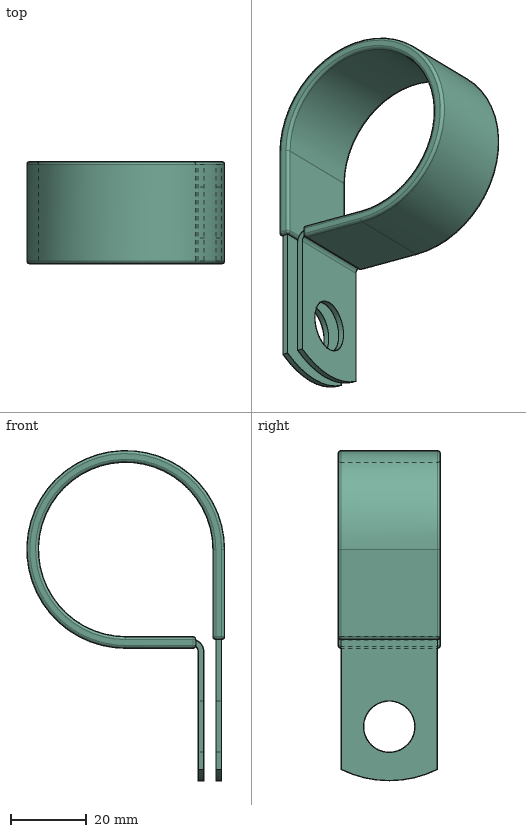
import cadquery as cq
import math

strap_thickness = 1.524
strap_width = 25.4
cushion_wall = 0.79375
loop_outer_radius = 26.125
tab_gap = 3.175
bend_inner_radius = 1.5875
cushion_foot_end_x = 18.5
cushion_leg_end_z = -23.8
tab_bottom_z = -61.085
tab_end_radius = 28.6
hole_diameter = 13.49375
hole_to_tab_bottom = 14.2875

cushion_thickness = strap_thickness + 2 * cushion_wall
cushion_width = strap_width + 2 * cushion_wall
strap_outer_radius = loop_outer_radius - cushion_wall
strap_inner_radius = strap_outer_radius - strap_thickness
front_tab_outer_x = strap_inner_radius - tab_gap
front_tab_inner_x = front_tab_outer_x - strap_thickness
bend_center_x = front_tab_inner_x - bend_inner_radius
bend_center_z = -strap_outer_radius - bend_inner_radius
bend_outer_radius = bend_inner_radius + strap_thickness
hole_z = tab_bottom_z + hole_to_tab_bottom
half_strap_width = strap_width / 2
tab_end_sag = tab_end_radius - math.sqrt(tab_end_radius**2 - half_strap_width**2)
tab_corner_z = tab_bottom_z + tab_end_sag


def loop_profile(outer_radius, thickness, leg_end_z, foot_end_x):
    """Leg down the +X side, three quarters of a turn, then a foot along the bottom."""
    inner_radius = outer_radius - thickness
    diagonal = math.sqrt(0.5)
    return (
        cq.Workplane("XZ")
        .moveTo(outer_radius, leg_end_z)
        .lineTo(outer_radius, 0)
        .threePointArc((-outer_radius * diagonal, outer_radius * diagonal), (0, -outer_radius))
        .lineTo(foot_end_x, -outer_radius)
        .lineTo(foot_end_x, -inner_radius)
        .lineTo(0, -inner_radius)
        .threePointArc((-inner_radius * diagonal, inner_radius * diagonal), (inner_radius, 0))
        .lineTo(inner_radius, leg_end_z)
        .close()
    )


def make_cushion():
    """Rubber cover with its side edges and free ends rounded all round."""
    profile = loop_profile(loop_outer_radius, cushion_thickness, cushion_leg_end_z, cushion_foot_end_x)
    return profile.extrude(cushion_width / 2, both=True).edges().fillet(cushion_wall)


def make_strap():
    """Metal band: the loop, the bend below the foot and the front tab."""
    loop = loop_profile(strap_outer_radius, strap_thickness, tab_bottom_z, bend_center_x)
    bend_and_tab = (
        cq.Workplane("XZ")
        .moveTo(bend_center_x, bend_center_z + bend_outer_radius)
        .radiusArc((front_tab_outer_x, bend_center_z), bend_outer_radius)
        .lineTo(front_tab_outer_x, tab_bottom_z)
        .lineTo(front_tab_inner_x, tab_bottom_z)
        .lineTo(front_tab_inner_x, bend_center_z)
        .radiusArc((bend_center_x, bend_center_z + bend_inner_radius), -bend_inner_radius)
        .close()
    )
    strap = loop.extrude(half_strap_width, both=True)
    strap = strap.union(bend_and_tab.extrude(half_strap_width, both=True))
    return strap.intersect(make_tab_outline()).cut(make_bolt_hole())


def make_tab_outline():
    """Prism along X that rounds the lower ends of both tabs."""
    return (
        cq.Workplane("YZ")
        .moveTo(-half_strap_width, loop_outer_radius)
        .lineTo(-half_strap_width, tab_corner_z)
        .threePointArc((0, tab_bottom_z), (half_strap_width, tab_corner_z))
        .lineTo(half_strap_width, loop_outer_radius)
        .close()
        .extrude(loop_outer_radius, both=True)
    )


def make_bolt_hole():
    """Cylinder along X through both tabs."""
    return (
        cq.Workplane("YZ")
        .center(0, hole_z)
        .circle(hole_diameter / 2)
        .extrude(loop_outer_radius)
    )


result = make_cushion().union(make_strap())